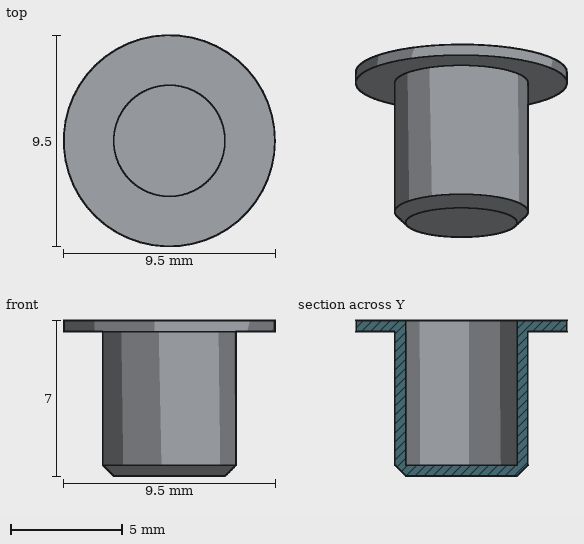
import cadquery as cq

total_height = 7.0
flange_diameter = 9.5
body_diameter = 6.0
bore_diameter = 5.0

wall_thickness = (body_diameter - bore_diameter) / 2
flange_thickness = wall_thickness
floor_thickness = wall_thickness
chamfer_size = wall_thickness


def make_body():
    """Round sleeve standing on Z = 0, chamfered around its closed lower end."""
    body = cq.Workplane("XY").circle(body_diameter / 2).extrude(total_height)
    return body.faces("<Z").chamfer(chamfer_size)


def make_flange():
    """Thin round flange flush with the open upper end."""
    flange_bottom = total_height - flange_thickness
    return (
        cq.Workplane("XY")
        .workplane(offset=flange_bottom)
        .circle(flange_diameter / 2)
        .extrude(flange_thickness)
    )


def make_bore():
    """Blind bore from the open upper end down to the floor."""
    bore_depth = total_height - floor_thickness
    return (
        cq.Workplane("XY")
        .workplane(offset=floor_thickness)
        .circle(bore_diameter / 2)
        .extrude(bore_depth)
    )


result = make_body().union(make_flange()).cut(make_bore())